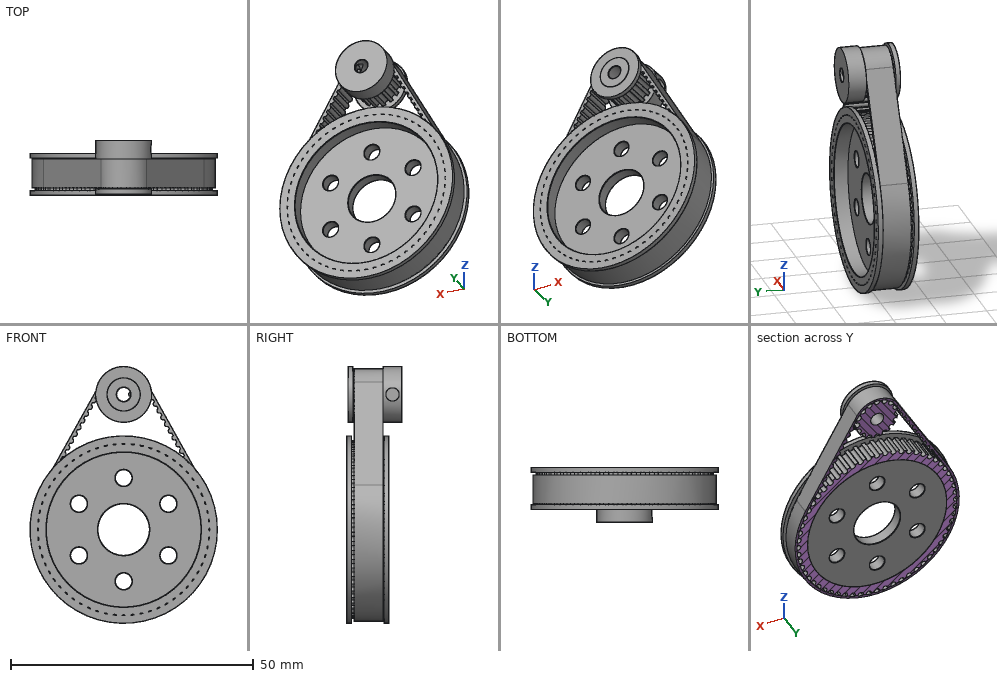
import cadquery as cq
import math


axis_distance = 27.9
groove_radius = 0.555
groove_depth = 0.75
flange_thickness = 1.0
rim_chamfer = 0.1

belt_thickness = 0.6
belt_front = 1.55
belt_width = 6.0
belt_back = belt_front + belt_width
belt_tooth_radius = 0.55
belt_tooth_height = 0.5
belt_tooth_pitch = 1.6
left_tooth_start = 2.5
right_tooth_start = 3.35
teeth_per_strand = 10

large_teeth = 60
large_tip_radius = 18.35
large_flange_radius = 19.35
large_flange_bore = 17.7
large_thickness = 8.7
recess_radius = 15.95
recess_depth = 3.0
large_bore_radius = 5.3
bolt_hole_radius = 1.7
bolt_circle_radius = 10.65
bolt_count = 6

small_teeth = 16
small_tip_radius = 4.75
small_flange_radius = 5.8
small_front = 0.25
small_back = 11.35
small_bore_radius = 1.45
boss_radius = 3.45
boss_height = 0.05
boss_front = small_front - boss_height
hub_front = belt_back
hub_middle = (hub_front + small_back) / 2

screw_radius = 1.4
screw_nose_radius = 0.4
screw_end = 5.05


def disc(radius, front, back, height=0.0):
    """Round disc along Y, from front to back, centred at X = 0 and Z = height."""
    plane = cq.Workplane("XZ", origin=(0, front, height))
    return plane.circle(radius).extrude(front - back)


def flared_disc(radius, front, back, front_flare, back_flare):
    """Disc along Y about X = Z = 0 whose radius grows by a 45 degree flare at each end."""
    profile = [
        (0, front),
        (radius + front_flare, front),
        (radius, front + abs(front_flare)),
        (radius, back - back_flare),
        (radius + back_flare, back),
        (0, back),
    ]
    corners = list(dict.fromkeys(profile))
    return cq.Workplane("XY").polyline(corners).close().revolve(360, (0, 0, 0), (0, 1, 0))


def grooved_core(tip_radius, teeth, front, back, height=0.0):
    """Toothed drum with one round-bottomed groove per tooth, the first one at +X."""
    groove_centre = tip_radius - groove_depth + groove_radius
    grooves = (
        cq.Workplane("XZ", origin=(0, front, height))
        .polarArray(groove_centre, 0, 360, teeth)
        .circle(groove_radius)
        .extrude(front - back)
    )
    return disc(tip_radius, front, back, height).cut(grooves)


def flange_ring(outer_radius, inner_radius, front):
    back = front + flange_thickness
    return disc(outer_radius, front, back).cut(disc(inner_radius, front, back))


def make_large_pulley():
    """Toothed drum between two rim flanges, with a recessed web, a bore and bolt holes."""
    pulley = grooved_core(large_tip_radius, large_teeth, 0, large_thickness)
    for front in (0, large_thickness - flange_thickness):
        pulley = pulley.union(flange_ring(large_flange_radius, large_flange_bore, front))
    web_front = recess_depth
    web_back = large_thickness - recess_depth
    pulley = pulley.cut(flared_disc(recess_radius, 0, web_front, rim_chamfer, 0))
    pulley = pulley.cut(flared_disc(recess_radius, web_back, large_thickness, 0, rim_chamfer))
    pulley = pulley.cut(flared_disc(large_bore_radius, web_front, web_back, rim_chamfer, rim_chamfer))
    bolt_hole = flared_disc(bolt_hole_radius, web_front, web_back, rim_chamfer, rim_chamfer)
    for index in range(bolt_count):
        angle = index * 360 / bolt_count
        placed_hole = bolt_hole.translate((0, 0, bolt_circle_radius)).rotate((0, 0, 0), (0, 1, 0), angle)
        pulley = pulley.cut(placed_hole)
    return pulley


def make_set_screw():
    """Screw along X whose domed nose reaches into the bore of the small pulley."""
    shank = (
        cq.Workplane("YZ", origin=(small_bore_radius, hub_middle, axis_distance))
        .circle(screw_radius)
        .extrude(screw_end - small_bore_radius)
    )
    nose = cq.Workplane("XY").sphere(screw_nose_radius)
    return shank.union(nose.translate((small_bore_radius, hub_middle, axis_distance)))


def make_small_pulley():
    """Toothed drum with a front flange and boss and a rear hub, drilled for the shaft and set screw."""
    flange_back = small_front + flange_thickness
    pulley = grooved_core(small_tip_radius, small_teeth, flange_back, hub_front, axis_distance)
    pulley = pulley.union(disc(small_flange_radius, small_front, flange_back, axis_distance))
    boss = flared_disc(boss_radius, boss_front, small_front, -boss_height, 0)
    pulley = pulley.union(boss.translate((0, 0, axis_distance)))
    pulley = pulley.union(disc(small_flange_radius, hub_front, small_back, axis_distance))
    shaft_bore = flared_disc(small_bore_radius, boss_front, small_back, rim_chamfer, rim_chamfer)
    pulley = pulley.cut(shaft_bore.translate((0, 0, axis_distance)))
    screw_hole = (
        cq.Workplane("YZ", origin=(0, hub_middle, axis_distance))
        .circle(screw_radius)
        .extrude(small_flange_radius)
    )
    return pulley.cut(screw_hole)


def tangent_loop(large_radius, small_radius):
    """Solid filling a belt path round both pulleys: two straight runs and two arcs."""
    tilt = math.asin((large_radius - small_radius) / axis_distance)
    large_x = large_radius * math.cos(tilt)
    large_z = large_radius * math.sin(tilt)
    small_x = small_radius * math.cos(tilt)
    small_z = axis_distance + small_radius * math.sin(tilt)
    return (
        cq.Workplane("XZ", origin=(0, belt_front, 0))
        .moveTo(large_x, large_z)
        .lineTo(small_x, small_z)
        .threePointArc((0, axis_distance + small_radius), (-small_x, small_z))
        .lineTo(-large_x, large_z)
        .threePointArc((0, -large_radius), (large_x, large_z))
        .close()
        .extrude(-belt_width)
    )


def strand_tooth_centres(side, start):
    """Tooth centres down one straight run, measured from its tangent point on the small pulley."""
    tilt = math.asin((large_tip_radius - small_tip_radius) / axis_distance)
    inset = small_tip_radius - belt_tooth_height + belt_tooth_radius
    centres = []
    for index in range(teeth_per_strand):
        travel = start + index * belt_tooth_pitch
        x = inset * math.cos(tilt) + travel * math.sin(tilt)
        z = axis_distance + inset * math.sin(tilt) - travel * math.cos(tilt)
        centres.append((side * x, z))
    return centres


def make_belt():
    belt = tangent_loop(large_tip_radius + belt_thickness, small_tip_radius + belt_thickness)
    belt = belt.cut(tangent_loop(large_tip_radius, small_tip_radius))
    centres = strand_tooth_centres(-1, left_tooth_start) + strand_tooth_centres(1, right_tooth_start)
    teeth = (
        cq.Workplane("XZ", origin=(0, belt_front, 0))
        .pushPoints(centres)
        .circle(belt_tooth_radius)
        .extrude(-belt_width)
    )
    return belt.union(teeth)


large_pulley = make_large_pulley()
small_pulley = make_small_pulley()
belt = make_belt()
set_screw = make_set_screw()

result = cq.Compound.makeCompound(
    [large_pulley.val(), small_pulley.val(), belt.val(), set_screw.val()]
)